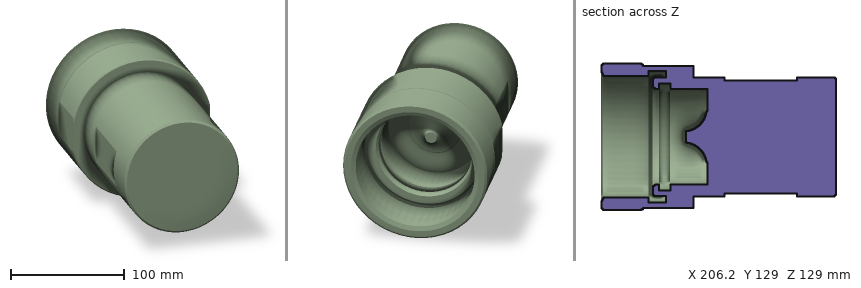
import cadquery as cq

length = 206.2
edge_chamfer = 1.9
fine_chamfer = 1.0

collar_radius = 64.5
collar_length = 81.0
ring_end = 35.9
ring_groove_depth = 0.8
collar_flat_offset = 62.5

body_radius = 52.5
body_flat_offset = 50.0
body_flat_start = 108.3
body_flat_length = 63.3

mouth_radius = 57.1
mouth_depth = 1.9
socket_radius = 53.2
socket_depth = 41.7
undercut_radius = 57.5
undercut_end = 56.7

sleeve_radius = 52.2
sleeve_face = 45.0
sleeve_chamfer = 1.6
bore_lead_in = 2.9
bore_radius = 41.9
seal_groove_radius = 46.8
seal_groove_start = 50.7
seal_groove_end = 60.5
bore_floor = 92.8

tip_radius = 5.2
tip_base_radius = 22.9
tip_base_height = 0.6
tip_flare_radius = tip_base_radius - tip_base_height
tip_height = 18.5
tip_flare_mid = (bore_floor - 6.2, 11.1)


def turned_body():
    """Collar and cylindrical body with chamfered ends and a fine V groove."""
    profile = (
        cq.Workplane("XY")
        .moveTo(0, 0)
        .lineTo(0, collar_radius - edge_chamfer)
        .lineTo(edge_chamfer, collar_radius)
        .lineTo(ring_end - fine_chamfer, collar_radius)
        .lineTo(ring_end, collar_radius - ring_groove_depth)
        .lineTo(ring_end + fine_chamfer, collar_radius)
        .lineTo(collar_length - fine_chamfer, collar_radius)
        .lineTo(collar_length, collar_radius - fine_chamfer)
        .lineTo(collar_length, body_radius)
        .lineTo(length - edge_chamfer, body_radius)
        .lineTo(length, body_radius - edge_chamfer)
        .lineTo(length, 0)
        .close()
    )
    return profile.revolve(360, (0, 0, 0), (1, 0, 0))


def cavity():
    """Socket, undercut, sleeve bore and seal groove around the flared tip."""
    profile = (
        cq.Workplane("XY")
        .moveTo(0, 0)
        .lineTo(0, mouth_radius)
        .lineTo(mouth_depth, socket_radius)
        .lineTo(socket_depth, socket_radius)
        .lineTo(socket_depth, undercut_radius)
        .lineTo(undercut_end, undercut_radius)
        .lineTo(undercut_end, sleeve_radius)
        .lineTo(sleeve_face + sleeve_chamfer, sleeve_radius)
        .lineTo(sleeve_face, sleeve_radius - sleeve_chamfer)
        .lineTo(sleeve_face, bore_radius + sleeve_chamfer)
        .lineTo(sleeve_face + bore_lead_in, bore_radius)
        .lineTo(seal_groove_start, bore_radius)
        .lineTo(seal_groove_start, seal_groove_radius)
        .lineTo(seal_groove_end, seal_groove_radius)
        .lineTo(seal_groove_end, bore_radius)
        .lineTo(bore_floor, bore_radius)
        .lineTo(bore_floor, tip_base_radius)
        .lineTo(bore_floor - tip_base_height, tip_flare_radius)
        .threePointArc(tip_flare_mid, (bore_floor - tip_height, tip_radius))
        .lineTo(bore_floor - tip_height, 0)
        .close()
    )
    return profile.revolve(360, (0, 0, 0), (1, 0, 0))


def flat_cutters(start, flat_length, offset, outer_radius):
    """Pair of blocks that cut opposite flats on the -Y and +Y sides."""
    depth = outer_radius - offset
    block = cq.Workplane("XY").box(flat_length, depth, 2 * outer_radius)
    middle_x = start + flat_length / 2
    middle_y = offset + depth / 2
    front = block.translate((middle_x, -middle_y, 0))
    back = block.translate((middle_x, middle_y, 0))
    return front.union(back)


collar_flat_start = ring_end + fine_chamfer
collar_flat_length = collar_length - collar_flat_start
result = (
    turned_body()
    .cut(cavity())
    .cut(flat_cutters(collar_flat_start, collar_flat_length, collar_flat_offset, collar_radius))
    .cut(flat_cutters(body_flat_start, body_flat_length, body_flat_offset, body_radius))
)